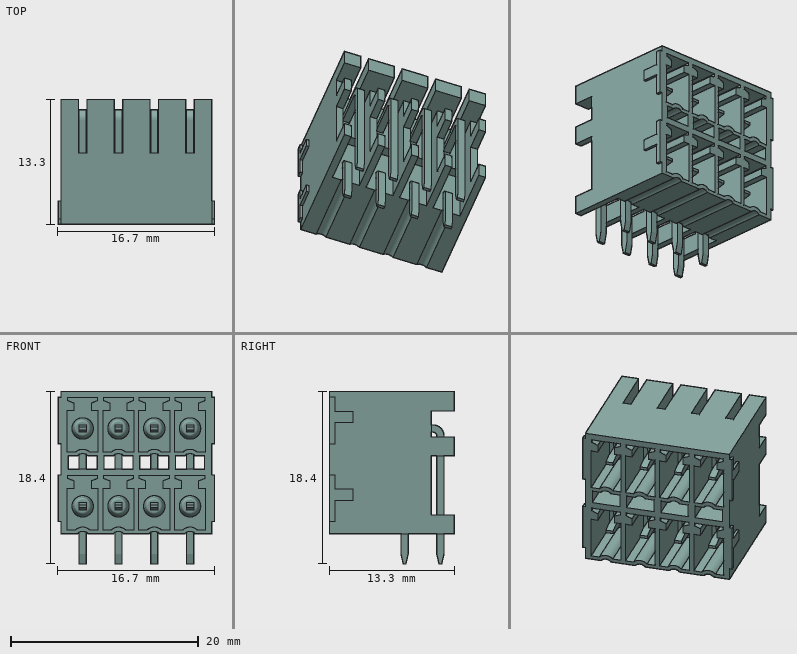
import cadquery as cq

COLUMNS = 4
ROWS = 2
COLUMN_PITCH = 3.8
ROW_PITCH = 8.28
FIRST_PIN_Z = 2.93

HOUSING_WIDTH = 16.05
HOUSING_DEPTH = 13.3
HOUSING_HEIGHT = 15.16

PIN_THICKNESS = 0.8
PIN_TIP_THICKNESS = 0.3
PIN_TIP_LENGTH = 1.09
PIN_OUTER_BEND_RADIUS = 1.18
PIN_FRONT_Y = 1.25
PIN_BOTTOM_Z = -3.24
FIRST_LEG_Y = 8.0
LEG_PITCH = COLUMN_PITCH

CAVITY_DEPTH = 6.62
CAVITY_HALF_WIDTH = 1.65
CAVITY_FLOOR_Z = 0.4
CAVITY_SHOULDER_Z = 4.84
NECK_HALF_WIDTH = 0.92
NECK_TOP_Z = 5.63
ARM_HALF_WIDTH = 1.6
ARM_BOTTOM_Z = 5.9
CAVITY_TOP_Z = 6.2

RIDGE_HALF_WIDTH = 0.75
RIDGE_HEIGHT = 0.31
GROOVE_HALF_WIDTH = 0.55
GROOVE_HEIGHT = 0.25

BOSS_BASE_RADIUS = 1.15
BOSS_TOP_RADIUS = 0.83
BOSS_HEIGHT = 1.29
BOSS_ROUNDING = 0.22

POCKET_HALF_WIDTH = 1.53
POCKET_FRONT_Y = FIRST_LEG_Y - PIN_THICKNESS / 2
POCKET_TOP_Z = 13.05
WINDOW_BOTTOM_Z = 6.88
SLOT_WIDTH = 0.88

NOTCH_FRONT_Y = 10.85
PRONG_HEIGHT = 2.02

RAIL_THICKNESS = 0.3
RAIL_DEPTH = 0.59
RAIL_BOTTOM_Z = 1.29
RAIL_TOP_Z = 6.27
TAB_DEPTH = 2.5
TAB_BOTTOM_Z = 3.55
TAB_TOP_Z = 4.75

COLUMN_XS = [(i - (COLUMNS - 1) / 2) * COLUMN_PITCH for i in range(COLUMNS)]
ROW_ZS = [i * ROW_PITCH for i in range(ROWS)]


def box(x_range, y_range, z_range):
    """Box between the given limits along each axis."""
    limits = (x_range, y_range, z_range)
    sizes = [high - low for low, high in limits]
    corner = cq.Vector(*[low for low, high in limits])
    return cq.Workplane(cq.Solid.makeBox(*sizes, corner))


def extrude_back(profile, depth):
    """Extrude an XZ outline from the front face towards the back."""
    return profile.extrude(-depth)


def make_cavity(x, foot_z):
    """Plug cavity with a T-shaped upper end and an arched ridge along its floor."""
    profile = (
        cq.Workplane("XZ", origin=(x, 0, foot_z))
        .moveTo(RIDGE_HALF_WIDTH, CAVITY_FLOOR_Z)
        .lineTo(CAVITY_HALF_WIDTH, CAVITY_FLOOR_Z)
        .lineTo(CAVITY_HALF_WIDTH, CAVITY_SHOULDER_Z)
        .lineTo(NECK_HALF_WIDTH, CAVITY_SHOULDER_Z)
        .lineTo(NECK_HALF_WIDTH, NECK_TOP_Z)
        .lineTo(ARM_HALF_WIDTH, ARM_BOTTOM_Z)
        .lineTo(ARM_HALF_WIDTH, CAVITY_TOP_Z)
        .lineTo(-ARM_HALF_WIDTH, CAVITY_TOP_Z)
        .lineTo(-ARM_HALF_WIDTH, ARM_BOTTOM_Z)
        .lineTo(-NECK_HALF_WIDTH, NECK_TOP_Z)
        .lineTo(-NECK_HALF_WIDTH, CAVITY_SHOULDER_Z)
        .lineTo(-CAVITY_HALF_WIDTH, CAVITY_SHOULDER_Z)
        .lineTo(-CAVITY_HALF_WIDTH, CAVITY_FLOOR_Z)
        .lineTo(-RIDGE_HALF_WIDTH, CAVITY_FLOOR_Z)
        .threePointArc((0, CAVITY_FLOOR_Z + RIDGE_HEIGHT), (RIDGE_HALF_WIDTH, CAVITY_FLOOR_Z))
        .close()
    )
    return extrude_back(profile, CAVITY_DEPTH)


def make_groove(x, foot_z):
    """Arched groove under a cavity floor, running back to the rear pocket."""
    profile = (
        cq.Workplane("XZ", origin=(x, 0, foot_z))
        .moveTo(-GROOVE_HALF_WIDTH, 0)
        .threePointArc((0, GROOVE_HEIGHT), (GROOVE_HALF_WIDTH, 0))
        .close()
    )
    return extrude_back(profile, POCKET_FRONT_Y)


def make_boss(x, foot_z):
    """Tapered round boss with a rounded rim, standing forward from the back of a cavity."""
    return (
        cq.Workplane("XY", origin=(x, CAVITY_DEPTH, foot_z + FIRST_PIN_Z))
        .lineTo(BOSS_BASE_RADIUS, 0)
        .lineTo(BOSS_TOP_RADIUS, -BOSS_HEIGHT)
        .lineTo(0, -BOSS_HEIGHT)
        .close()
        .revolve(360, (0, 0), (0, 1))
        .faces("<Y")
        .edges()
        .fillet(BOSS_ROUNDING)
    )


def make_rails(foot_z):
    """Pair of T-shaped rails, one on each side of the housing."""
    half_width = HOUSING_WIDTH / 2 + RAIL_THICKNESS
    x_range = (-half_width, half_width)
    strip = box(x_range, (0, RAIL_DEPTH), (foot_z + RAIL_BOTTOM_Z, foot_z + RAIL_TOP_Z))
    tab = box(x_range, (0, TAB_DEPTH), (foot_z + TAB_BOTTOM_Z, foot_z + TAB_TOP_Z))
    return strip.union(tab)


def make_notch(bottom_z, top_z):
    """Notch across the whole back of the housing."""
    return box((-HOUSING_WIDTH / 2, HOUSING_WIDTH / 2), (NOTCH_FRONT_Y, HOUSING_DEPTH), (bottom_z, top_z))


def make_column_opening(x):
    """Rear pocket of one column, with the slot above it and the windows in front of it."""
    pocket_x_range = (x - POCKET_HALF_WIDTH, x + POCKET_HALF_WIDTH)
    slot_x_range = (x - SLOT_WIDTH / 2, x + SLOT_WIDTH / 2)
    rear_y_range = (POCKET_FRONT_Y, HOUSING_DEPTH)
    opening = box(pocket_x_range, rear_y_range, (0, POCKET_TOP_Z))
    opening = opening.union(box(slot_x_range, rear_y_range, (POCKET_TOP_Z, HOUSING_HEIGHT)))
    for foot_z in ROW_ZS[:-1]:
        window_z_range = (foot_z + WINDOW_BOTTOM_Z, foot_z + ROW_PITCH)
        opening = opening.union(box(pocket_x_range, (0, POCKET_FRONT_Y), window_z_range))
    return opening


def make_pin(x, row):
    """Square pin, bent from its mating end down to its leg, with both ends tapered."""
    half = PIN_THICKNESS / 2
    half_tip = PIN_TIP_THICKNESS / 2
    inner_bend_radius = PIN_OUTER_BEND_RADIUS - PIN_THICKNESS
    pin_z = ROW_ZS[row] + FIRST_PIN_Z
    leg_y = FIRST_LEG_Y + row * LEG_PITCH
    bend_y = leg_y + half - PIN_OUTER_BEND_RADIUS
    bend_z = pin_z + half - PIN_OUTER_BEND_RADIUS
    taper_y = PIN_FRONT_Y + PIN_TIP_LENGTH
    taper_z = PIN_BOTTOM_Z + PIN_TIP_LENGTH
    return (
        cq.Workplane("YZ", origin=(x - half, 0, 0))
        .moveTo(PIN_FRONT_Y, pin_z + half_tip)
        .lineTo(taper_y, pin_z + half)
        .lineTo(bend_y, pin_z + half)
        .radiusArc((leg_y + half, bend_z), PIN_OUTER_BEND_RADIUS)
        .lineTo(leg_y + half, taper_z)
        .lineTo(leg_y + half_tip, PIN_BOTTOM_Z)
        .lineTo(leg_y - half_tip, PIN_BOTTOM_Z)
        .lineTo(leg_y - half, taper_z)
        .lineTo(leg_y - half, bend_z)
        .radiusArc((bend_y, pin_z - half), -inner_bend_radius)
        .lineTo(taper_y, pin_z - half)
        .lineTo(PIN_FRONT_Y, pin_z - half_tip)
        .close()
        .extrude(PIN_THICKNESS)
    )


def make_housing(pins):
    """Housing with its cavities, pockets and rails, and a fitting hole for each pin."""
    housing = box((-HOUSING_WIDTH / 2, HOUSING_WIDTH / 2), (0, HOUSING_DEPTH), (0, HOUSING_HEIGHT))
    for foot_z in ROW_ZS:
        housing = housing.union(make_rails(foot_z))
    for x in COLUMN_XS:
        housing = housing.cut(make_column_opening(x))
    for foot_z in ROW_ZS:
        for x in COLUMN_XS:
            housing = housing.cut(make_cavity(x, foot_z)).cut(make_groove(x, foot_z))
            housing = housing.union(make_boss(x, foot_z))
    prong_tops = [foot_z + PRONG_HEIGHT for foot_z in ROW_ZS]
    notch_tops = ROW_ZS[1:] + [POCKET_TOP_Z]
    for bottom_z, top_z in zip(prong_tops, notch_tops):
        housing = housing.cut(make_notch(bottom_z, top_z))
    for pin in pins:
        housing = housing.cut(pin)
    return housing


pins = [make_pin(x, row) for row in range(ROWS) for x in COLUMN_XS]
housing = make_housing(pins)

result = cq.Compound.makeCompound([housing.solids().val(), *[pin.val() for pin in pins]])